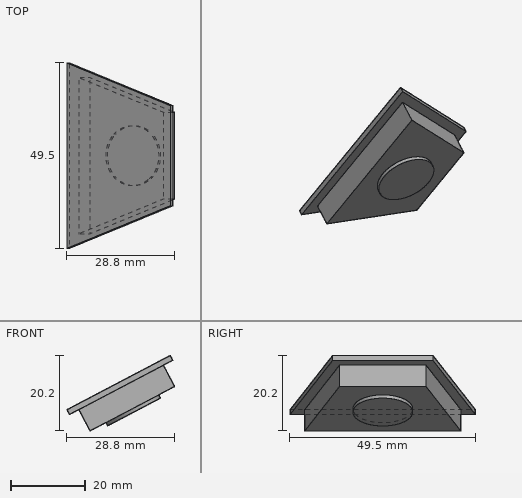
import cadquery as cq

tilt_angle = 27.7
plate_length = 31.15
plate_wide_end = 49.5
plate_narrow_end = 26.7
plate_thickness = 1.5

end_inset = 2.8
block_length = plate_length - 2 * end_inset
block_wide_end = 41.65
block_narrow_end = 23.1
block_height = 6.45

boss_diameter = 16.0
boss_height = 1.0


def trapezoid_prism(length, wide_end, narrow_end, top, height):
    """Trapezoid centred on the origin, wide end at -X, extending down from top."""
    outline = [
        (-length / 2, -wide_end / 2),
        (length / 2, -narrow_end / 2),
        (length / 2, narrow_end / 2),
        (-length / 2, wide_end / 2),
    ]
    return cq.Workplane("XY").workplane(offset=top).polyline(outline).close().extrude(-height)


plate = trapezoid_prism(plate_length, plate_wide_end, plate_narrow_end, 0, plate_thickness)
block = trapezoid_prism(
    block_length, block_wide_end, block_narrow_end, -plate_thickness, block_height
)
block_bottom = -plate_thickness - block_height
boss = cq.Workplane("XY").workplane(offset=block_bottom).circle(boss_diameter / 2).extrude(-boss_height)

result = plate.union(block).union(boss).rotate((0, 0, 0), (0, 1, 0), -tilt_angle)